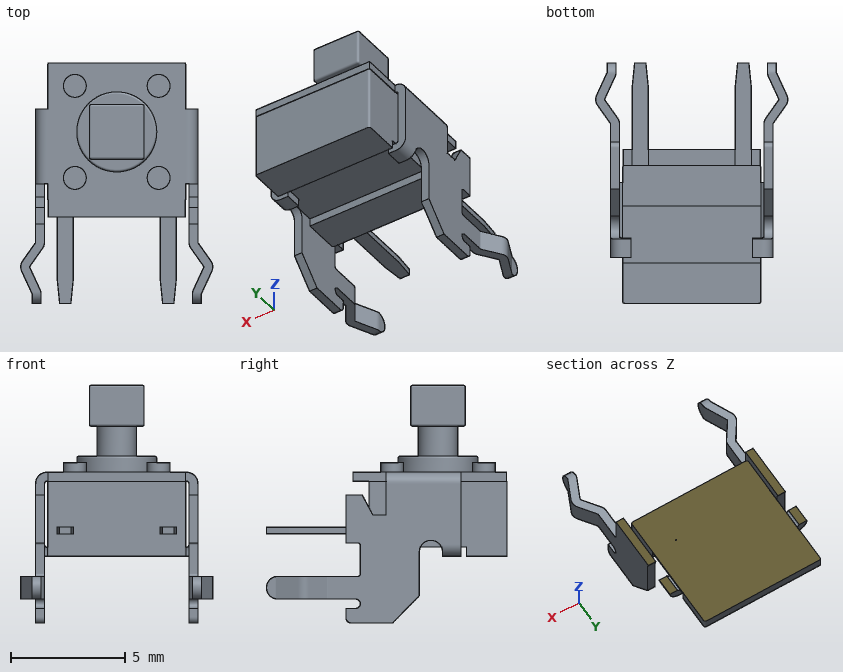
import cadquery as cq
import math


BODY_SIZE = 6.04
BODY_BOTTOM = -3.68
BODY_EDGE_ROUND = 0.1
CHANNEL_HALF_WIDTH = 1.24

SHEET = 0.4
PLATE_WIDTH = 6.0
PLATE_BACK = 3.0
PLATE_FRONT = -3.72
SIDE_OUTER_X = 3.55
SIDE_INNER_X = SIDE_OUTER_X - SHEET
BEND_INNER = 0.1
BEND_OUTER = BEND_INNER + SHEET
STRIP_BACK = 1.01
STRIP_FRONT = -2.27
LIP_FLAT = 0.4
CHANNEL_TOP = BODY_BOTTOM + SHEET

CHEEK_FRONT = -4.03
CHEEK_NECK_FRONT = -3.4
CHEEK_BOTTOM = -6.6
RELIEF_FLOOR = -1.87
RELIEF_FRONT = -2.85
HORN_TOP = -0.99
HORN_TOP_BACK = -3.31
HORN_BOTTOM = -3.1
SLOT_HEIGHT = 0.4
CORNER_CUT_Y = -1.99
CORNER_CUT_Z = -5.4
CHEEK_CORNER_ROUND = 0.25
NECK_ROUND = 0.1
ARCH_RADIUS = 0.5
ARCH_Y = -0.31
ARCH_Z = -3.48

LEG_BEND_INNER = 0.05
LEG_BEND_OUTER = LEG_BEND_INNER + SHEET
LEG_TOP = -4.55
LEG_HEIGHT = 1.0
LEG_BOTTOM = LEG_TOP - LEG_HEIGHT
LEG_END = -7.5
LEG_REACH = 4.2
LEG_ELBOW_X = LEG_REACH - LEG_BEND_OUTER
LEG_ELBOW_Y = -5.9
LEG_BEND_Y = -4.82
LEG_TIP_OUTER_X = 3.7
LEG_TIP_BEND_Y = -7.09

FLANGE_RADIUS = 1.75
FLANGE_TOP = 0.7
FLANGE_ROUND = 0.1
STEM_RADIUS = 0.87
CAP_SIZE = 2.4
CAP_BOTTOM = 2.0
CAP_TOP = 3.8
CAP_ROUND = 0.1

RIVET_RADIUS = 0.5
RIVET_HEIGHT = 0.42
RIVET_X = 1.83
RIVET_Y = 2.01

PIN_X = 2.25
PIN_Z = -2.55
PIN_WIDTH = 0.7
PIN_TIP_WIDTH = 0.5
PIN_THICKNESS = 0.3
PIN_TAPER_START = -6.5


def box_between(x_range, y_range, z_range):
    """Box given by its lower and upper limit along each axis."""
    lows, highs = zip(x_range, y_range, z_range)
    sizes = [high - low for low, high in zip(lows, highs)]
    return cq.Workplane("XY").box(*sizes, centered=False).translate(lows)


def make_body():
    half = BODY_SIZE / 2
    body = box_between((-half, half), (-half, half), (BODY_BOTTOM, -SHEET))
    body = body.edges("|Z").fillet(BODY_EDGE_ROUND)
    channel = box_between(
        (-half, half),
        (-CHANNEL_HALF_WIDTH, CHANNEL_HALF_WIDTH),
        (BODY_BOTTOM, CHANNEL_TOP),
    )
    return body.cut(channel)


def make_strip():
    """C-shaped strip: fold from the cover plate, side wall and lip under the body."""
    bend_x = SIDE_OUTER_X - BEND_OUTER
    lip_end = bend_x - LIP_FLAT
    fold_z = -BEND_OUTER
    lip_bend_z = BODY_BOTTOM + BEND_OUTER
    plate_x = PLATE_WIDTH / 2 - SHEET
    return (
        cq.Workplane("XZ", origin=(0, STRIP_BACK, 0))
        .moveTo(plate_x, 0)
        .lineTo(bend_x, 0)
        .radiusArc((SIDE_OUTER_X, fold_z), BEND_OUTER)
        .lineTo(SIDE_OUTER_X, lip_bend_z)
        .radiusArc((bend_x, BODY_BOTTOM), BEND_OUTER)
        .lineTo(lip_end, BODY_BOTTOM)
        .lineTo(lip_end, CHANNEL_TOP)
        .lineTo(bend_x, CHANNEL_TOP)
        .radiusArc((SIDE_INNER_X, lip_bend_z), -BEND_INNER)
        .lineTo(SIDE_INNER_X, fold_z)
        .radiusArc((bend_x, -SHEET), -BEND_INNER)
        .lineTo(plate_x, -SHEET)
        .close()
        .extrude(STRIP_BACK - STRIP_FRONT)
    )


def round_cheek_corner(cheek, y, z, radius):
    """Round the cheek edge that runs along X through (y, z)."""
    reach = radius / 2
    corner = cq.selectors.BoxSelector(
        (SIDE_INNER_X - reach, y - reach, z - reach),
        (SIDE_OUTER_X + reach, y + reach, z + reach),
    )
    return cheek.edges("|X").edges(corner).fillet(radius)


def make_cheek():
    """Flat side plate with horn, slot and cut-off rear corner."""
    slot_floor = LEG_BOTTOM - SLOT_HEIGHT
    slot_radius = SLOT_HEIGHT / 2
    slot_end = CHEEK_NECK_FRONT - slot_radius
    arch_front = ARCH_Y - ARCH_RADIUS
    outline = [
        (ARCH_Y, RELIEF_FLOOR),
        (RELIEF_FRONT, RELIEF_FLOOR),
        (HORN_TOP_BACK, HORN_TOP),
        (CHEEK_FRONT, HORN_TOP),
        (CHEEK_FRONT, HORN_BOTTOM),
        (CHEEK_NECK_FRONT, HORN_BOTTOM),
        (CHEEK_NECK_FRONT, LEG_TOP),
        (LEG_BEND_Y, LEG_TOP),
        (LEG_BEND_Y, LEG_BOTTOM),
        (slot_end, LEG_BOTTOM),
        (slot_end, slot_floor),
        (CHEEK_FRONT, slot_floor),
        (CHEEK_FRONT, CHEEK_BOTTOM),
        (CORNER_CUT_Y, CHEEK_BOTTOM),
        (arch_front, CORNER_CUT_Z),
        (arch_front, ARCH_Z),
        (ARCH_Y, ARCH_Z),
    ]
    cheek = (
        cq.Workplane("YZ", origin=(SIDE_INNER_X, 0, 0))
        .polyline(outline)
        .close()
        .extrude(SHEET)
    )
    slot_round = (
        cq.Workplane("YZ", origin=(SIDE_INNER_X, slot_end, LEG_BOTTOM - slot_radius))
        .circle(slot_radius)
        .extrude(SHEET)
    )
    cheek = cheek.cut(slot_round)
    cheek = round_cheek_corner(cheek, CHEEK_NECK_FRONT, HORN_BOTTOM, NECK_ROUND)
    cheek = round_cheek_corner(cheek, CHEEK_NECK_FRONT, LEG_TOP, NECK_ROUND)
    return round_cheek_corner(cheek, CHEEK_FRONT, CHEEK_BOTTOM, CHEEK_CORNER_ROUND)


def lean_angle(run_x, run_y):
    """Angle from Y of the straight between two opposite bends with centres run_x, run_y apart."""
    bend_offset = LEG_BEND_INNER + LEG_BEND_OUTER
    return math.atan2(run_x, run_y) + math.asin(bend_offset / math.hypot(run_x, run_y))


def make_leg():
    """Snap leg: bends outward, back inward at the elbow, then straight to a round tip."""
    root_x = SIDE_OUTER_X + LEG_BEND_INNER
    tip_x = LEG_TIP_OUTER_X + LEG_BEND_INNER
    tip_inner_x = LEG_TIP_OUTER_X - SHEET
    out_lean = lean_angle(LEG_ELBOW_X - root_x, LEG_BEND_Y - LEG_ELBOW_Y)
    back_lean = lean_angle(LEG_ELBOW_X - tip_x, LEG_ELBOW_Y - LEG_TIP_BEND_Y)

    def root_point(radius):
        return (root_x - radius * math.cos(out_lean), LEG_BEND_Y - radius * math.sin(out_lean))

    def elbow_out_point(radius):
        return (LEG_ELBOW_X + radius * math.cos(out_lean), LEG_ELBOW_Y + radius * math.sin(out_lean))

    def elbow_back_point(radius):
        return (LEG_ELBOW_X + radius * math.cos(back_lean), LEG_ELBOW_Y - radius * math.sin(back_lean))

    def tip_point(radius):
        return (tip_x - radius * math.cos(back_lean), LEG_TIP_BEND_Y + radius * math.sin(back_lean))

    leg = (
        cq.Workplane("XY", origin=(0, 0, LEG_BOTTOM))
        .moveTo(SIDE_OUTER_X, LEG_BEND_Y)
        .radiusArc(root_point(LEG_BEND_INNER), -LEG_BEND_INNER)
        .lineTo(*elbow_out_point(LEG_BEND_OUTER))
        .radiusArc(elbow_back_point(LEG_BEND_OUTER), LEG_BEND_OUTER)
        .lineTo(*tip_point(LEG_BEND_INNER))
        .radiusArc((LEG_TIP_OUTER_X, LEG_TIP_BEND_Y), -LEG_BEND_INNER)
        .lineTo(LEG_TIP_OUTER_X, LEG_END)
        .lineTo(tip_inner_x, LEG_END)
        .lineTo(tip_inner_x, LEG_TIP_BEND_Y)
        .radiusArc(tip_point(LEG_BEND_OUTER), LEG_BEND_OUTER)
        .lineTo(*elbow_back_point(LEG_BEND_INNER))
        .radiusArc(elbow_out_point(LEG_BEND_INNER), -LEG_BEND_INNER)
        .lineTo(*root_point(LEG_BEND_OUTER))
        .radiusArc((SIDE_INNER_X, LEG_BEND_Y), LEG_BEND_OUTER)
        .close()
        .extrude(LEG_HEIGHT)
    )
    tip_radius = LEG_HEIGHT / 2
    rounded_envelope = (
        cq.Workplane("YZ")
        .moveTo(LEG_BEND_Y, LEG_TOP)
        .lineTo(LEG_END + tip_radius, LEG_TOP)
        .threePointArc((LEG_END, LEG_TOP - tip_radius), (LEG_END + tip_radius, LEG_BOTTOM))
        .lineTo(LEG_BEND_Y, LEG_BOTTOM)
        .close()
        .extrude(LEG_REACH)
    )
    return leg.intersect(rounded_envelope)


def make_bracket_side():
    """Everything of the bracket on the +X side of the cover plate."""
    arch_back = ARCH_Y + ARCH_RADIUS
    arch_front = ARCH_Y - ARCH_RADIUS
    arch = (
        cq.Workplane("YZ")
        .moveTo(arch_back, BODY_BOTTOM)
        .lineTo(arch_back, ARCH_Z)
        .threePointArc((ARCH_Y, ARCH_Z + ARCH_RADIUS), (arch_front, ARCH_Z))
        .lineTo(arch_front, BODY_BOTTOM)
        .close()
        .extrude(SIDE_OUTER_X)
    )
    front_lip = box_between(
        (0, SIDE_OUTER_X),
        (STRIP_FRONT, ARCH_Y),
        (BODY_BOTTOM, BODY_BOTTOM + BEND_OUTER),
    )
    side = make_strip().cut(front_lip).union(make_cheek()).cut(arch)
    return side.union(make_leg())


def make_bracket():
    half = PLATE_WIDTH / 2
    plate = box_between((-half, half), (PLATE_FRONT, PLATE_BACK), (-SHEET, 0))
    side = make_bracket_side()
    return plate.union(side).union(side.mirror("YZ"))


def make_plunger():
    flange = cq.Workplane("XY").circle(FLANGE_RADIUS).extrude(FLANGE_TOP)
    flange = flange.faces(">Z").edges().fillet(FLANGE_ROUND)
    stem = cq.Workplane("XY").circle(STEM_RADIUS).extrude(CAP_BOTTOM)
    half = CAP_SIZE / 2
    cap = box_between((-half, half), (-half, half), (CAP_BOTTOM, CAP_TOP))
    cap = cap.edges().fillet(CAP_ROUND)
    return flange.union(stem).union(cap)


def make_rivets():
    return (
        cq.Workplane("XY")
        .rect(2 * RIVET_X, 2 * RIVET_Y, forConstruction=True)
        .vertices()
        .circle(RIVET_RADIUS)
        .extrude(RIVET_HEIGHT)
    )


def make_pin(center_x):
    """Flat pin leaving the front of the body, tapered towards its tip."""
    half = PIN_WIDTH / 2
    half_tip = PIN_TIP_WIDTH / 2
    outline = [
        (-half, -BODY_SIZE / 2),
        (-half, PIN_TAPER_START),
        (-half_tip, LEG_END),
        (half_tip, LEG_END),
        (half, PIN_TAPER_START),
        (half, -BODY_SIZE / 2),
    ]
    pin = cq.Workplane("XY").polyline(outline).close().extrude(PIN_THICKNESS)
    return pin.translate((center_x, 0, PIN_Z - PIN_THICKNESS / 2))


result = make_body().union(make_bracket()).union(make_plunger()).union(make_rivets())
for pin_x in (-PIN_X, PIN_X):
    result = result.union(make_pin(pin_x))